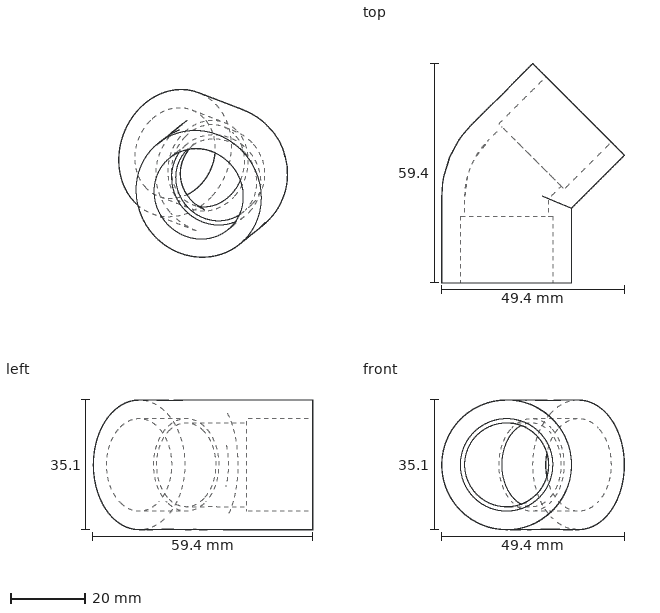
import cadquery as cq
import math

overall_length = 59.35
outer_diameter = 35.1
socket_diameter = 25.0
bore_diameter = 22.7
socket_depth = 18.0
bend_radius = 9.7
bend_angle = 45.0

bend_radians = math.radians(bend_angle)
arm_length = (overall_length - outer_diameter / 2 * math.sin(bend_radians)) / (1 + math.cos(bend_radians))
bend_setback = bend_radius * math.tan(bend_radians / 2)

inlet_direction = cq.Vector(0, -1, 0)
outlet_direction = cq.Vector(math.sin(bend_radians), math.cos(bend_radians), 0)


def straight(diameter, direction, start, end):
    """Cylinder along one arm, between two distances from the centreline crossing."""
    return cq.Workplane(
        cq.Solid.makeCylinder(diameter / 2, end - start, direction * start, direction)
    )


def bend(diameter):
    """Round section turned about the bend pivot; the part beyond the pivot is left off."""
    radius = diameter / 2
    half_chord = math.sqrt(radius**2 - bend_radius**2)
    return (
        cq.Workplane("XZ", origin=(0, -bend_setback, 0))
        .moveTo(bend_radius, -half_chord)
        .threePointArc((-radius, 0), (bend_radius, half_chord))
        .close()
        .revolve(bend_angle, (bend_radius, 0.6, 0), (bend_radius, 0, 0))
    )


def elbow(diameter):
    """Solid elbow made of two straight arms joined by the bend."""
    body = bend(diameter)
    for direction in (inlet_direction, outlet_direction):
        body = body.union(straight(diameter, direction, bend_setback, arm_length))
    return body


result = elbow(outer_diameter).cut(elbow(bore_diameter))

for direction in (inlet_direction, outlet_direction):
    socket = straight(socket_diameter, direction, arm_length - socket_depth, arm_length)
    result = result.cut(socket)

result = cq.Workplane(result.solids().val().toNURBS())